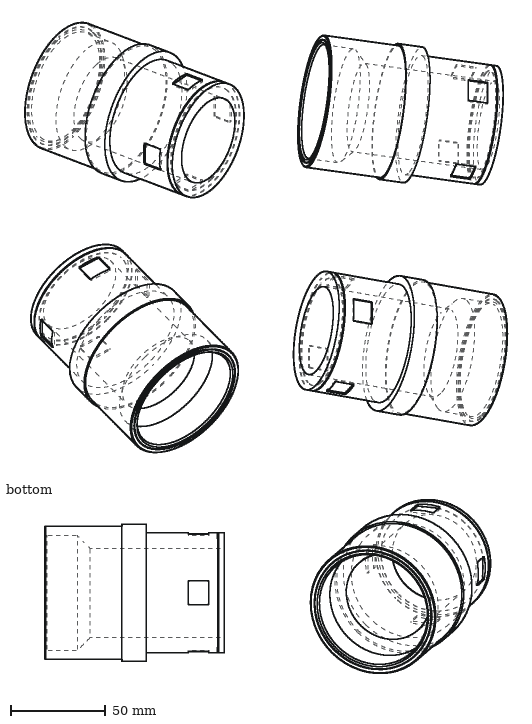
import cadquery as cq

TOTAL_LENGTH = 95.5
SOCKET_DIAMETER = 70.98
COLLAR_DIAMETER = 73.0
SPIGOT_DIAMETER = 64.0
COLLAR_START = 41.0
COLLAR_END = 54.1
SOCKET_CHAMFER = 0.5

BORE_DIAMETER = 61.16
LEAD_IN_DIAMETER = 63.0
LEAD_IN_LENGTH = 1.0
TAPER_START = 17.2
THROAT_DIAMETER = 47.5
TAPER_END = TAPER_START + (BORE_DIAMETER - THROAT_DIAMETER) / 2

FACE_GROOVE_OUTER_DIAMETER = 66.28
FACE_GROOVE_INNER_DIAMETER = 65.88
FACE_GROOVE_DEPTH = 0.4

SPIGOT_GROOVE_START = 92.0
SPIGOT_GROOVE_WIDTH = 0.5
SPIGOT_GROOVE_DIAMETER = 58.0

POCKET_COUNT = 4
POCKET_START = 76.4
POCKET_LENGTH = 10.7
POCKET_WIDTH = 12.9
POCKET_DEPTH = 1.5
POCKET_CORNER_RADIUS = 0.5


def ring(start, length, outer_diameter, inner_diameter):
    """Annular solid around the X axis."""
    return (
        cq.Workplane("YZ", origin=(start, 0, 0))
        .circle(outer_diameter / 2)
        .circle(inner_diameter / 2)
        .extrude(length)
    )


def body():
    """Stepped tube revolved about X, with the tapered bore."""
    socket_radius = SOCKET_DIAMETER / 2
    profile = [
        (0, LEAD_IN_DIAMETER / 2),
        (0, socket_radius - SOCKET_CHAMFER),
        (SOCKET_CHAMFER, socket_radius),
        (COLLAR_START, socket_radius),
        (COLLAR_START, COLLAR_DIAMETER / 2),
        (COLLAR_END, COLLAR_DIAMETER / 2),
        (COLLAR_END, SPIGOT_DIAMETER / 2),
        (TOTAL_LENGTH, SPIGOT_DIAMETER / 2),
        (TOTAL_LENGTH, THROAT_DIAMETER / 2),
        (TAPER_END, THROAT_DIAMETER / 2),
        (TAPER_START, BORE_DIAMETER / 2),
        (LEAD_IN_LENGTH, BORE_DIAMETER / 2),
    ]
    return cq.Workplane("XY").polyline(profile).close().revolve(360, (0, 0, 0), (1, 0, 0))


def pocket():
    """Cutter for the flat-bottomed, round-cornered pocket on the +Z side."""
    floor = SPIGOT_DIAMETER / 2 - POCKET_DEPTH
    return (
        cq.Workplane("XY", origin=(POCKET_START + POCKET_LENGTH / 2, 0, floor))
        .rect(POCKET_LENGTH, POCKET_WIDTH)
        .extrude(2 * POCKET_DEPTH)
        .edges("|Z")
        .fillet(POCKET_CORNER_RADIUS)
    )


result = body()
result = result.cut(
    ring(0, FACE_GROOVE_DEPTH, FACE_GROOVE_OUTER_DIAMETER, FACE_GROOVE_INNER_DIAMETER)
)
result = result.cut(
    ring(SPIGOT_GROOVE_START, SPIGOT_GROOVE_WIDTH, COLLAR_DIAMETER, SPIGOT_GROOVE_DIAMETER)
)
for index in range(POCKET_COUNT):
    angle = index * 360 / POCKET_COUNT
    result = result.cut(pocket().rotate((0, 0, 0), (1, 0, 0), angle))